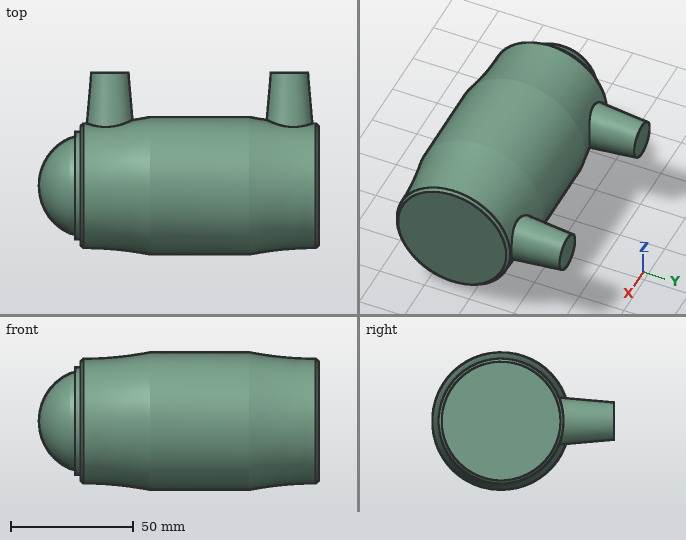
import cadquery as cq
import math

length = 113.9
dome_seam_x = 12.8
collar_x = 14.8
body_x = 17.0
waist_start_x = 45.3
waist_end_x = 85.6

body_radius = 56.0 / 2
rim_radius = 25.4
collar_radius = 44.0 / 2
dome_base_radius = 40.0 / 2
dome_seam_radius = 19.5
end_chamfer = 1.3

overall_width = 74.0

pipe_positions = (28.9, 101.9)
pipe_tip_y = overall_width - body_radius
pipe_root_y = 17.1
pipe_tip_radius = 7.6
pipe_taper = 5.0


def revolve_about_x(profile):
    return profile.close().revolve(360, (0, 0, 0), (1, 0, 0))


def make_dome():
    """Spherical cap on a short conical skirt, seated on a collar."""
    sphere_radius = (dome_seam_x**2 + dome_seam_radius**2) / (2 * dome_seam_x)
    half_angle = math.asin(dome_seam_radius / sphere_radius) / 2
    cap_middle = (
        sphere_radius * (1 - math.cos(half_angle)),
        sphere_radius * math.sin(half_angle),
    )
    return revolve_about_x(
        cq.Workplane("XY")
        .moveTo(0, 0)
        .threePointArc(cap_middle, (dome_seam_x, dome_seam_radius))
        .lineTo(collar_x, dome_base_radius)
        .lineTo(collar_x, collar_radius)
        .lineTo(body_x, collar_radius)
        .lineTo(body_x, 0)
    )


def taper_middle(rim_x, waist_x):
    """Halfway point of the arc that is level at the rim and meets the waist."""
    run = waist_x - rim_x
    rise = body_radius - rim_radius
    arc_radius = (run**2 + rise**2) / (2 * rise)
    half_angle = math.asin(abs(run) / arc_radius) / 2
    return (
        rim_x + math.copysign(arc_radius * math.sin(half_angle), run),
        rim_radius + arc_radius * (1 - math.cos(half_angle)),
    )


def make_body():
    """Cylindrical middle with concave tapers that run level into each rim."""
    front_rim_x = body_x + end_chamfer
    rear_rim_x = length - end_chamfer
    return revolve_about_x(
        cq.Workplane("XY")
        .moveTo(body_x, 0)
        .lineTo(body_x, rim_radius - end_chamfer)
        .lineTo(front_rim_x, rim_radius)
        .threePointArc(taper_middle(front_rim_x, waist_start_x), (waist_start_x, body_radius))
        .lineTo(waist_end_x, body_radius)
        .threePointArc(taper_middle(rear_rim_x, waist_end_x), (rear_rim_x, rim_radius))
        .lineTo(length, rim_radius - end_chamfer)
        .lineTo(length, 0)
    )


def make_pipe(x):
    """Cone frustum rooted inside the body."""
    height = pipe_tip_y - pipe_root_y
    root_radius = pipe_tip_radius + height * math.tan(math.radians(pipe_taper))
    cone = cq.Solid.makeCone(
        root_radius, pipe_tip_radius, height, cq.Vector(x, pipe_root_y, 0), cq.Vector(0, 1, 0)
    )
    return cq.Workplane(obj=cone)


result = make_dome().union(make_body())
for pipe_x in pipe_positions:
    result = result.union(make_pipe(pipe_x))